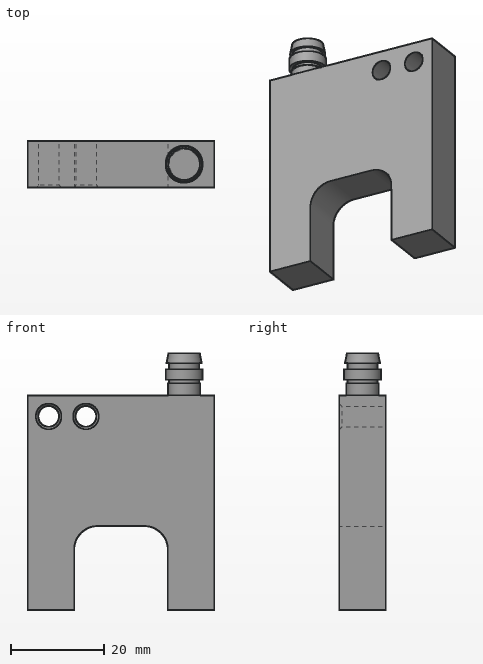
import cadquery as cq

width = 40.0
thickness = 10.0
total_height = 55.0
plug_height = 9.0
body_height = total_height - plug_height

slot_width = width / 2
slot_depth = 18.0
slot_corner_radius = 5.0

hole_diameter = 4.4
countersink_diameter = 5.5
countersink_depth = (countersink_diameter - hole_diameter) / 2
hole_edge_distance = 4.5
hole_pitch = 8.0

plug_edge_distance = 6.5
base_radius = 7.0 / 2
neck_radius = 6.5 / 2
collar_radius = 8.0 / 2
head_bottom_radius = 7.6 / 2
head_top_radius = 6.75 / 2
base_top = 2.6
collar_bottom = 3.3
collar_top = 5.6
head_bottom = 6.9


def make_body():
    """Rectangular plate with a round-cornered slot open at the bottom."""
    plate = cq.Workplane("XY").box(width, thickness, body_height, centered=(True, True, False))
    slot = (
        cq.Workplane("XY")
        .box(slot_width, thickness, slot_depth, centered=(True, True, False))
        .edges("|Y and >Z")
        .fillet(slot_corner_radius)
    )
    return plate.cut(slot)


def make_hole(x, z):
    """Through hole along Y with a 45 degree countersink at the front."""
    front = cq.Workplane("XZ", origin=(x, -thickness / 2, z))
    bore = front.circle(hole_diameter / 2).extrude(-thickness)
    countersink = (
        front.circle(countersink_diameter / 2)
        .workplane(offset=-countersink_depth)
        .circle(hole_diameter / 2)
        .loft()
    )
    return bore.union(countersink)


def make_plug():
    """Stepped round plug with a collar and a tapered head, revolved about its axis."""
    half_profile = [
        (0, 0),
        (base_radius, 0),
        (base_radius, base_top),
        (neck_radius, base_top),
        (neck_radius, collar_bottom),
        (collar_radius, collar_bottom),
        (collar_radius, collar_top),
        (neck_radius, collar_top),
        (neck_radius, head_bottom),
        (head_bottom_radius, head_bottom),
        (head_top_radius, plug_height),
        (0, plug_height),
    ]
    plug_x = width / 2 - plug_edge_distance
    return (
        cq.Workplane("XZ", origin=(plug_x, 0, body_height))
        .polyline(half_profile)
        .close()
        .revolve(360, (0, 0), (0, 1))
    )


result = make_body().union(make_plug())
for index in range(2):
    hole_x = -width / 2 + hole_edge_distance + index * hole_pitch
    result = result.cut(make_hole(hole_x, body_height - hole_edge_distance))